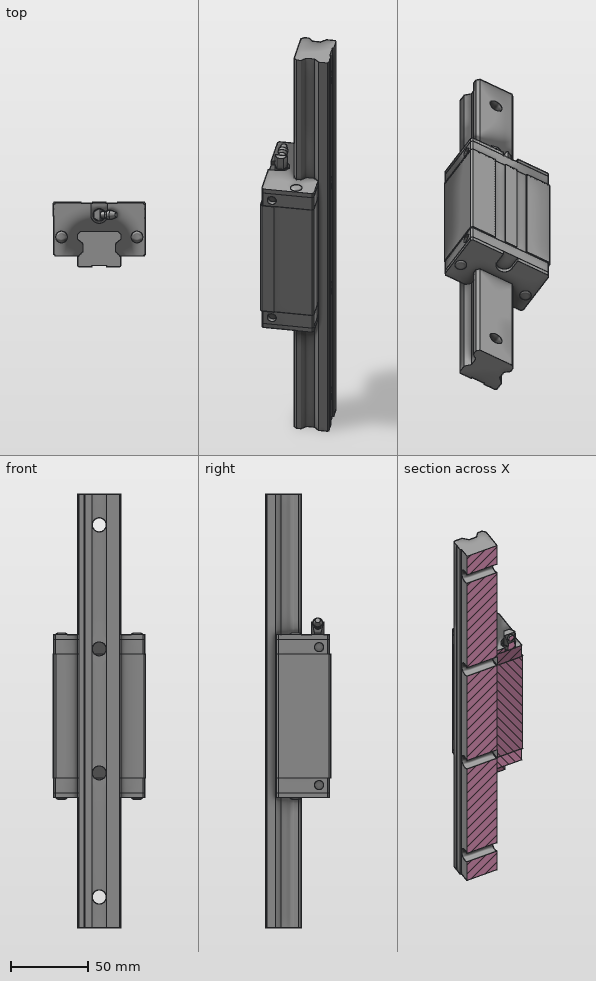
import cadquery as cq
import math


RAIL_LENGTH = 280.0
RAIL_HEIGHT = 23.0
RAIL_HALF_WIDTH = 14.0
WAIST_HALF_WIDTH = 10.5
FOOT_CHAMFER = 0.8
FOOT_HEIGHT = 6.5
WAIST_BOTTOM = 9.8
WAIST_TOP = 15.0
HEAD_BOTTOM = 18.0
HEAD_TOP_CHAMFER = 2.0
HEAD_FILLET = 1.0
FOOT_GROOVE_WIDTH = 9.5
FOOT_GROOVE_DEPTH = 0.8
MARK_GROOVE_X = -9.5
MARK_GROOVE_WIDTH = 0.8
MARK_GROOVE_DEPTH = 0.3
BOLT_HOLE_DIAMETER = 9.0
BOLT_HOLE_COUNT = 4
BOLT_HOLE_PITCH = 80.0

BLOCK_WIDTH = 60.0
BLOCK_TOP = 42.0
BLOCK_LENGTH = 80.0
CARRIAGE_BOTTOM = 7.0
CARRIAGE_CENTER_Z = 136.5
SIDE_STEP_DEPTH = 0.8
SIDE_STEP_TOP = 33.0
TOP_GROOVE_INNER = 4.2
TOP_GROOVE_OUTER = 11.8
TOP_GROOVE_DEPTH = 0.8
EDGE_CHAMFER = 1.0

CAP_WIDTH = 58.8
CAP_TOP = 41.2
CAP_LENGTH = 9.5
SEAL_LENGTH = 3.0
SIDE_PORT_DIAMETER = 6.0
SIDE_PORT_DEPTH = 3.5
SIDE_PORT_Y = 34.5
SIDE_PORT_FROM_BLOCK = 4.5
SCREW_X = 24.5
SCREW_Y = 19.3
SCREW_HEAD_DIAMETER = 7.5
SCREW_HEAD_HEIGHT = 1.0
SCREW_FLAT_DIAMETER = 3.5
NIPPLE_SLOT_WIDTH = 11.0

NIPPLE_Y = 33.5
NIPPLE_DIAMETER = 8.0
NIPPLE_HEX_TOP_Z = 197.5
NIPPLE_TILT = 22.5
NIPPLE_FACE_START_X = 0.5
NIPPLE_AXIS_Z = 194.0
NECK_RADIUS = 2.2
NECK_END = 4.5
NOZZLE_HEAD_RADIUS = 3.0
NOZZLE_HEAD_START = 6.2
NOZZLE_HEAD_END = 8.0
TIP_RADIUS = 1.7
TIP_END = 11.8

BLOCK_BASE_Z = CARRIAGE_CENTER_Z - BLOCK_LENGTH / 2
BLOCK_END_Z = CARRIAGE_CENTER_Z + BLOCK_LENGTH / 2
CAP_END_Z = BLOCK_END_Z + CAP_LENGTH


def extruded_box(x_min, x_max, y_min, y_max, z_base, length):
    """A box along Z given by its X and Y limits."""
    return (
        cq.Workplane("XY", origin=((x_min + x_max) / 2, (y_min + y_max) / 2, z_base))
        .rect(x_max - x_min, y_max - y_min)
        .extrude(length)
    )


def rail_bar(z_base, length):
    """The plain rail section, also used to cut the running opening of the carriage."""
    right_side = [
        (RAIL_HALF_WIDTH - FOOT_CHAMFER, 0),
        (RAIL_HALF_WIDTH, FOOT_CHAMFER),
        (RAIL_HALF_WIDTH, FOOT_HEIGHT),
        (WAIST_HALF_WIDTH, WAIST_BOTTOM),
        (WAIST_HALF_WIDTH, WAIST_TOP),
        (RAIL_HALF_WIDTH, HEAD_BOTTOM),
        (RAIL_HALF_WIDTH, RAIL_HEIGHT - HEAD_TOP_CHAMFER),
        (RAIL_HALF_WIDTH - HEAD_TOP_CHAMFER, RAIL_HEIGHT),
    ]
    left_side = [(-x, y) for x, y in reversed(right_side)]
    bar = (
        cq.Workplane("XY", origin=(0, 0, z_base))
        .polyline(right_side + left_side)
        .close()
        .extrude(length)
    )
    flank_edges = cq.selectors.BoxSelector(
        (-2 * RAIL_HALF_WIDTH, (WAIST_BOTTOM + WAIST_TOP) / 2, z_base),
        (2 * RAIL_HALF_WIDTH, (HEAD_BOTTOM + RAIL_HEIGHT - HEAD_TOP_CHAMFER) / 2, z_base + length),
    )
    return bar.edges("|Z").edges(flank_edges).fillet(HEAD_FILLET)


def make_rail():
    rail = rail_bar(0, RAIL_LENGTH)
    half_groove = FOOT_GROOVE_WIDTH / 2
    rail = rail.cut(extruded_box(-half_groove, half_groove, 0, FOOT_GROOVE_DEPTH, 0, RAIL_LENGTH))
    half_mark = MARK_GROOVE_WIDTH / 2
    mark_groove = (
        cq.Workplane("XY")
        .moveTo(MARK_GROOVE_X - half_mark, 0)
        .lineTo(MARK_GROOVE_X + half_mark, 0)
        .lineTo(MARK_GROOVE_X, MARK_GROOVE_DEPTH)
        .close()
        .extrude(RAIL_LENGTH)
    )
    bolt_holes = (
        cq.Workplane("XZ", origin=(0, 0, RAIL_LENGTH / 2))
        .rarray(2.8, BOLT_HOLE_PITCH, 1, BOLT_HOLE_COUNT)
        .circle(BOLT_HOLE_DIAMETER / 2)
        .extrude(-RAIL_HEIGHT)
    )
    return rail.cut(mark_groove).cut(bolt_holes)


def make_block():
    half_width = BLOCK_WIDTH / 2
    block = extruded_box(
        -half_width, half_width, CARRIAGE_BOTTOM, BLOCK_TOP, BLOCK_BASE_Z, BLOCK_LENGTH
    )
    side_step = extruded_box(
        -half_width, SIDE_STEP_DEPTH - half_width,
        CARRIAGE_BOTTOM, SIDE_STEP_TOP, BLOCK_BASE_Z, BLOCK_LENGTH,
    )
    block = block.cut(side_step)
    block = block.edges("|Z").edges("<Y or >Y").chamfer(EDGE_CHAMFER)
    for x_min, x_max in (
        (-TOP_GROOVE_OUTER, -TOP_GROOVE_INNER),
        (TOP_GROOVE_INNER, TOP_GROOVE_OUTER),
    ):
        block = block.cut(
            extruded_box(
                x_min, x_max, BLOCK_TOP - TOP_GROOVE_DEPTH, BLOCK_TOP, BLOCK_BASE_Z, BLOCK_LENGTH
            )
        )
    return block.cut(rail_bar(BLOCK_BASE_Z, BLOCK_LENGTH))


def end_plate(z_base, length):
    """The outline shared by the end caps and end seals, open around the rail."""
    plate = extruded_box(
        -CAP_WIDTH / 2, CAP_WIDTH / 2, CARRIAGE_BOTTOM, CAP_TOP, z_base, length
    )
    return plate.edges("|Z").chamfer(EDGE_CHAMFER).cut(rail_bar(z_base, length))


def make_end_cap():
    """The +Z end cap with a blind port in each side."""
    cap = end_plate(BLOCK_END_Z, CAP_LENGTH)
    for side in (-1, 1):
        port = (
            cq.Workplane(
                "YZ",
                origin=(side * CAP_WIDTH / 2, SIDE_PORT_Y, BLOCK_END_Z + SIDE_PORT_FROM_BLOCK),
            )
            .circle(SIDE_PORT_DIAMETER / 2)
            .extrude(-side * SIDE_PORT_DEPTH)
        )
        cap = cap.cut(port)
    return cap


def screw_head(x):
    """A round head with a flat top and an arc that leaves the flat tangentially."""
    head_radius = SCREW_HEAD_DIAMETER / 2
    flat_radius = SCREW_FLAT_DIAMETER / 2
    arc_width = head_radius - flat_radius
    arc_radius = (arc_width**2 + SCREW_HEAD_HEIGHT**2) / (2 * SCREW_HEAD_HEIGHT)
    half_angle = math.asin(arc_width / arc_radius) / 2
    arc_middle = (
        flat_radius + arc_radius * math.sin(half_angle),
        SCREW_HEAD_HEIGHT - arc_radius * (1 - math.cos(half_angle)),
    )
    return (
        cq.Workplane("XZ", origin=(x, SCREW_Y, CAP_END_Z + SEAL_LENGTH))
        .lineTo(head_radius, 0)
        .threePointArc(arc_middle, (flat_radius, SCREW_HEAD_HEIGHT))
        .lineTo(0, SCREW_HEAD_HEIGHT)
        .close()
        .revolve(360, (0, 0, 0), (0, 1, 0))
    )


def make_end_seal():
    """The +Z end seal with its two screw heads and the slot around the nipple."""
    seal = end_plate(CAP_END_Z, SEAL_LENGTH)
    half_slot = NIPPLE_SLOT_WIDTH / 2
    slot = (
        cq.Workplane("XY", origin=(0, 0, CAP_END_Z))
        .moveTo(-half_slot, CAP_TOP)
        .lineTo(-half_slot, NIPPLE_Y)
        .threePointArc((0, NIPPLE_Y - half_slot), (half_slot, NIPPLE_Y))
        .lineTo(half_slot, CAP_TOP)
        .close()
        .extrude(SEAL_LENGTH)
    )
    seal = seal.cut(slot)
    for side in (-1, 1):
        seal = seal.union(screw_head(side * SCREW_X))
    return seal


def opposite(body):
    """The same body at the -Z end of the block."""
    return body.mirror("XY", (0, 0, CARRIAGE_CENTER_Z))


def make_nipple():
    """Angled grease nipple: round base, hexagon with a slanted face, and a nozzle towards +X."""
    base = (
        cq.Workplane("XY", origin=(0, NIPPLE_Y, CAP_END_Z))
        .circle(NIPPLE_DIAMETER / 2)
        .extrude(SEAL_LENGTH)
    )
    hexagon = (
        cq.Workplane("XY", origin=(0, NIPPLE_Y, CAP_END_Z))
        .transformed(rotate=(0, 0, 90))
        .polygon(6, NIPPLE_DIAMETER)
        .extrude(NIPPLE_HEX_TOP_Z - CAP_END_Z)
    )
    tilt = math.radians(NIPPLE_TILT)
    along = cq.Vector(math.cos(tilt), 0, math.sin(tilt))
    slanted_plane = cq.Plane(
        origin=(NIPPLE_FACE_START_X, NIPPLE_Y, NIPPLE_HEX_TOP_Z),
        xDir=(0, 1, 0),
        normal=along.toTuple(),
    )
    cutter_side = 4 * NIPPLE_DIAMETER
    slant_cutter = cq.Workplane(slanted_plane).rect(cutter_side, cutter_side).extrude(NIPPLE_DIAMETER)
    hexagon = hexagon.cut(slant_cutter)
    nozzle_plane = cq.Plane(
        origin=(0, NIPPLE_Y, NIPPLE_AXIS_Z), xDir=along.toTuple(), normal=(0, -1, 0)
    )
    nozzle = (
        cq.Workplane(nozzle_plane)
        .polyline([
            (0, 0),
            (0, NECK_RADIUS),
            (NECK_END, NECK_RADIUS),
            (NOZZLE_HEAD_START, NOZZLE_HEAD_RADIUS),
            (NOZZLE_HEAD_END, NOZZLE_HEAD_RADIUS),
            (TIP_END, TIP_RADIUS),
            (TIP_END, 0),
        ])
        .close()
        .revolve(360, (0, 0, 0), (1, 0, 0))
    )
    return base.union(hexagon).union(nozzle)


rail = make_rail()
block = make_block()
end_cap = make_end_cap()
end_seal = make_end_seal()
nipple = make_nipple()

result = cq.Compound.makeCompound([
    rail.val(),
    block.val(),
    end_cap.val(),
    opposite(end_cap).val(),
    end_seal.val(),
    opposite(end_seal).val(),
    nipple.val(),
])